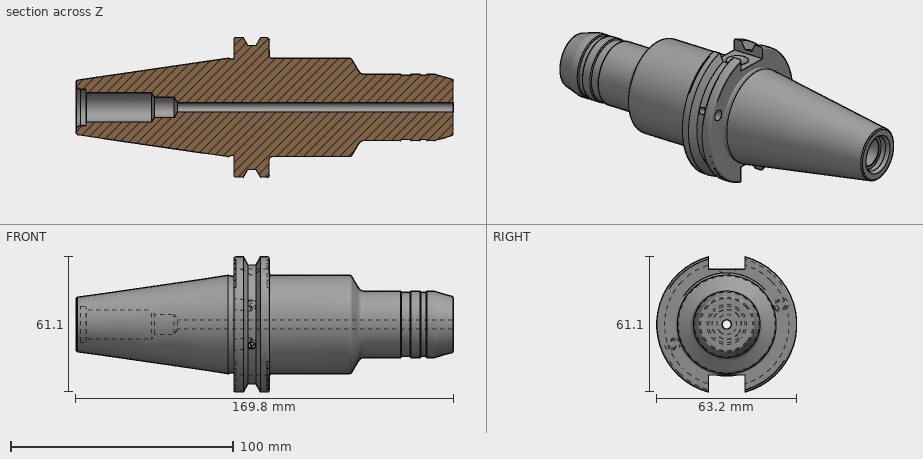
import cadquery as cq
import math

TOTAL_LENGTH = 169.8

GAUGE_X = 68.5
GAUGE_DIAMETER = 44.5
TAPER_RATIO = 7 / 24
TAPER_END_CHAMFER = 0.5
NECK_DIAMETER = 43.7
NECK_START_X = 70.0
NECK_FILLET = 0.3

FLANGE_X = 71.0
FLANGE_WIDTH = 16.0
FLANGE_DIAMETER = 63.2
FLANGE_EDGE_FILLET = 1.0
FLANGE_ROOT_FILLET = 1.0
GROOVE_CENTRE_X = 79.2
GROOVE_DIAMETER = 56.0
GROOVE_FLOOR_WIDTH = 3.5
GROOVE_WALL_ANGLE = 30.0

SLOT_WIDTH = 16.3
UPPER_SLOT_FLOOR_Z = 25.0
LOWER_SLOT_FLOOR_Z = -22.8
DIMPLE_DIAMETER = 10.0
DIMPLE_POINT_ANGLE = 120.0

BODY_DIAMETER = 44.5
SHOULDER_X = 123.8
SHOULDER_ANGLE = 60.0
SHOULDER_FILLET = 1.7
SHOULDER_ROOT_FILLET = 2.9
NOSE_DIAMETER = 30.0
NOSE_GROOVE_DIAMETER = 29.0
NOSE_GROOVES = [(146.0, 150.8), (154.9, 158.0)]
NOSE_TAPER_X = 161.4
NOSE_TAPER_ANGLE = 16.0
NOSE_TAPER_FILLET = 1.7
NOSE_END_FILLET = 1.0

MOUTH_DIAMETER = 18.0
MOUTH_DEPTH = 1.9
COUNTERBORE_DIAMETER = 16.3
COUNTERBORE_DEPTH = 4.5
THREAD_DIAMETER = 13.5
THREAD_CHAMFER = 0.2
BORE_DIAMETER = 13.0
BORE_DEPTH = 34.0
PILOT_DIAMETER = 9.0
PILOT_DEPTH = 44.2
THROUGH_DIAMETER = 4.0
DRILL_POINT_ANGLE = 118.0

COOLANT_DIAMETER = 5.0
COOLANT_CIRCLE_RADIUS = 26.8
COOLANT_ANGLE = 20.0

COOLANT_TILT = 15.0
COOLANT_DEPTH = 8.3
COOLANT_LEAD = 1.7
CROSS_HOLE_DIAMETER = 3.2
CROSS_HOLE_FLOOR_RADIUS = 23.1

MATCH_TOLERANCE = 0.03


def cone_length(large_diameter, small_diameter, point_angle):
    """Axial length of a cone between two diameters with the given included angle."""
    return (large_diameter - small_diameter) / 2 / math.tan(math.radians(point_angle / 2))


def revolve_about_x(points):
    """Solid of revolution about X from an (x, radius) outline."""
    return cq.Workplane("XY").polyline(points).close().revolve(360, (0, 0, 0), (1, 0, 0))


def fillet_circle(solid, x, radius, fillet):
    """Round the full circular edge that lies at the given x and radius."""
    edges = [
        edge for edge in solid.edges("%CIRCLE").vals()
        if abs(edge.Center().x - x) < MATCH_TOLERANCE and abs(edge.radius() - radius) < MATCH_TOLERANCE
    ]
    return solid.newObject(edges).fillet(fillet)


def make_taper():
    gauge_radius = GAUGE_DIAMETER / 2
    end_radius = gauge_radius - GAUGE_X * TAPER_RATIO / 2
    neck_radius = NECK_DIAMETER / 2
    return revolve_about_x([
        (0, 0),
        (0, end_radius - TAPER_END_CHAMFER),
        (TAPER_END_CHAMFER, end_radius + TAPER_END_CHAMFER * TAPER_RATIO / 2),
        (GAUGE_X, gauge_radius),
        (NECK_START_X, neck_radius),
        (FLANGE_X, neck_radius),
        (FLANGE_X, 0),
    ])


def make_flange():
    radius = FLANGE_DIAMETER / 2
    disc = cq.Workplane("YZ", origin=(FLANGE_X, 0, 0)).circle(radius).extrude(FLANGE_WIDTH)
    disc = disc.edges("%CIRCLE").fillet(FLANGE_EDGE_FILLET)

    groove_radius = GROOVE_DIAMETER / 2
    half_floor = GROOVE_FLOOR_WIDTH / 2
    half_top = half_floor + (radius - groove_radius) * math.tan(math.radians(GROOVE_WALL_ANGLE))
    groove = revolve_about_x([
        (GROOVE_CENTRE_X - half_floor, groove_radius),
        (GROOVE_CENTRE_X - half_top, radius),
        (GROOVE_CENTRE_X + half_top, radius),
        (GROOVE_CENTRE_X + half_floor, groove_radius),
    ])
    return disc.cut(groove)


def make_body():
    body_radius = BODY_DIAMETER / 2
    nose_radius = NOSE_DIAMETER / 2
    shoulder_length = (body_radius - nose_radius) / math.tan(math.radians(SHOULDER_ANGLE))
    shoulder_root_x = SHOULDER_X + shoulder_length
    taper_drop = (TOTAL_LENGTH - NOSE_TAPER_X) * math.tan(math.radians(NOSE_TAPER_ANGLE))
    end_radius = nose_radius - taper_drop
    body = revolve_about_x([
        (FLANGE_X, 0),
        (FLANGE_X, body_radius),
        (SHOULDER_X, body_radius),
        (shoulder_root_x, nose_radius),
        (NOSE_TAPER_X, nose_radius),
        (TOTAL_LENGTH, end_radius),
        (TOTAL_LENGTH, 0),
    ])
    body = fillet_circle(body, SHOULDER_X, body_radius, SHOULDER_FILLET)
    body = fillet_circle(body, shoulder_root_x, nose_radius, SHOULDER_ROOT_FILLET)
    body = fillet_circle(body, NOSE_TAPER_X, nose_radius, NOSE_TAPER_FILLET)
    body = fillet_circle(body, TOTAL_LENGTH, end_radius, NOSE_END_FILLET)

    floor_radius = NOSE_GROOVE_DIAMETER / 2
    depth = nose_radius - floor_radius
    for start, end in NOSE_GROOVES:
        body = body.cut(revolve_about_x([
            (start, nose_radius),
            (start + depth, floor_radius),
            (end - depth, floor_radius),
            (end, nose_radius),
        ]))
    return body


def make_bore():
    pilot_start = BORE_DEPTH + cone_length(BORE_DIAMETER, PILOT_DIAMETER, DRILL_POINT_ANGLE)
    through_start = PILOT_DEPTH + cone_length(PILOT_DIAMETER, THROUGH_DIAMETER, DRILL_POINT_ANGLE)
    return revolve_about_x([
        (0, 0),
        (0, MOUTH_DIAMETER / 2),
        (MOUTH_DEPTH, COUNTERBORE_DIAMETER / 2),
        (COUNTERBORE_DEPTH, COUNTERBORE_DIAMETER / 2),
        (COUNTERBORE_DEPTH, THREAD_DIAMETER / 2),
        (COUNTERBORE_DEPTH + THREAD_CHAMFER, BORE_DIAMETER / 2),
        (BORE_DEPTH, BORE_DIAMETER / 2),
        (pilot_start, PILOT_DIAMETER / 2),
        (PILOT_DEPTH, PILOT_DIAMETER / 2),
        (through_start, THROUGH_DIAMETER / 2),
        (TOTAL_LENGTH, THROUGH_DIAMETER / 2),
        (TOTAL_LENGTH, 0),
    ])


def make_slot(floor_z):
    """Drive slot across the flange, open outward from its floor."""
    outer_z = math.copysign(FLANGE_DIAMETER / 2, floor_z)
    return cq.Workplane("XY").box(
        FLANGE_WIDTH, SLOT_WIDTH, abs(outer_z - floor_z)
    ).translate((FLANGE_X + FLANGE_WIDTH / 2, 0, (outer_z + floor_z) / 2))


def make_dimple():
    """Conical dimple in the floor of the upper slot."""
    depth = cone_length(DIMPLE_DIAMETER, 0, DIMPLE_POINT_ANGLE)
    cone = cq.Solid.makeCone(
        DIMPLE_DIAMETER / 2, 0, depth,
        cq.Vector(GROOVE_CENTRE_X, 0, UPPER_SLOT_FLOOR_Z), cq.Vector(0, 0, -1),
    )
    return cq.Workplane(obj=cone)


def make_coolant_hole(angle):
    """Hole from the flange face sloping inward, crossed by a pointed radial hole from the groove."""
    outward = cq.Vector(0, math.cos(math.radians(angle)), math.sin(math.radians(angle)))
    inward = outward * -1
    along = cq.Vector(1, 0, 0)
    tilt = math.radians(COOLANT_TILT)
    slope = along * math.cos(tilt) + inward * math.sin(tilt)
    face_centre = outward * COOLANT_CIRCLE_RADIUS + along * FLANGE_X
    sloping_hole = cq.Solid.makeCylinder(
        COOLANT_DIAMETER / 2, COOLANT_LEAD + COOLANT_DEPTH, face_centre - slope * COOLANT_LEAD, slope,
    )

    radius = CROSS_HOLE_DIAMETER / 2
    shank_length = FLANGE_DIAMETER / 2 - CROSS_HOLE_FLOOR_RADIUS
    shank_start = outward * (FLANGE_DIAMETER / 2) + along * GROOVE_CENTRE_X
    shank_end = shank_start + inward * shank_length
    shank = cq.Solid.makeCylinder(radius, shank_length, shank_start, inward)
    point_length = cone_length(CROSS_HOLE_DIAMETER, 0, DRILL_POINT_ANGLE)
    point = cq.Solid.makeCone(radius, 0, point_length, shank_end, inward)
    return cq.Workplane(obj=sloping_hole).union(cq.Workplane(obj=shank)).union(cq.Workplane(obj=point))


holder = make_taper().union(make_flange()).union(make_body())
holder = fillet_circle(holder, FLANGE_X, NECK_DIAMETER / 2, NECK_FILLET)
holder = fillet_circle(holder, FLANGE_X + FLANGE_WIDTH, BODY_DIAMETER / 2, FLANGE_ROOT_FILLET)
for slot_floor in (UPPER_SLOT_FLOOR_Z, LOWER_SLOT_FLOOR_Z):
    holder = holder.cut(make_slot(slot_floor))
holder = holder.cut(make_dimple())
for hole_angle in (COOLANT_ANGLE, COOLANT_ANGLE + 180):
    holder = holder.cut(make_coolant_hole(hole_angle))

result = holder.cut(make_bore())